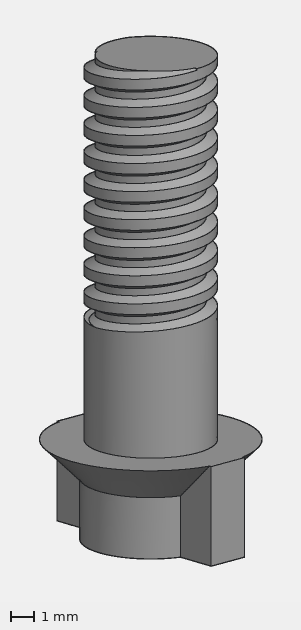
import cadquery as cq

total_height = 21.78
head_height = 4.49
collar_height = 1.72
thread_start = 10.0

collar_diameter = 9.63
hub_diameter = 6.15
shank_diameter = 5.77
root_diameter = 4.81

lug_span = collar_diameter
lug_width = 2.0

pitch = 1.26
groove_root_width = 0.33
groove_crest_width = 0.78
top_groove_height = 20.85
extra_turns = 1
groove_overshoot = 0.22


def make_head():
    """Hub with a conical collar above it and two side lugs."""
    hub_radius = hub_diameter / 2
    collar_radius = collar_diameter / 2
    body = (
        cq.Workplane("XZ")
        .moveTo(0, 0)
        .lineTo(hub_radius, 0)
        .lineTo(hub_radius, head_height - collar_height)
        .lineTo(collar_radius, head_height)
        .lineTo(0, head_height)
        .close()
        .revolve(360, (0, 0, 0), (0, 1, 0))
    )
    lugs = cq.Workplane("XY").rect(lug_span, lug_width).extrude(head_height)
    return body.union(lugs)


def make_plain_cylinder(diameter, bottom, top):
    return cq.Workplane("XY").workplane(offset=bottom).circle(diameter / 2).extrude(top - bottom)


def make_groove():
    """Helical cutter that runs past both ends of the threaded length."""
    turns_below_top_groove = int((top_groove_height - thread_start) / pitch) + extra_turns
    start = top_groove_height - turns_below_top_groove * pitch
    turns = turns_below_top_groove + extra_turns
    root_radius = root_diameter / 2
    crest_radius = shank_diameter / 2
    flank_slope = (groove_crest_width - groove_root_width) / 2 / (crest_radius - root_radius)
    root_half = groove_root_width / 2
    outer_half = groove_crest_width / 2 + flank_slope * groove_overshoot
    outer_radius = crest_radius + groove_overshoot
    path = cq.Wire.makeHelix(pitch, turns * pitch, root_radius, cq.Vector(0, 0, start))
    return (
        cq.Workplane("XZ")
        .moveTo(root_radius, start - root_half)
        .lineTo(outer_radius, start - outer_half)
        .lineTo(outer_radius, start + outer_half)
        .lineTo(root_radius, start + root_half)
        .close()
        .sweep(cq.Workplane(obj=path), isFrenet=True)
    )


def make_thread():
    """Groove a rod longer than the cutter, then trim it to the threaded length."""
    rod_top = total_height + (extra_turns + 1) * pitch
    rod = make_plain_cylinder(shank_diameter, head_height, rod_top).cut(make_groove())
    trim = make_plain_cylinder(collar_diameter, thread_start, total_height)
    return rod.intersect(trim)


head = make_head()
shank = make_plain_cylinder(shank_diameter, head_height, thread_start)
thread = make_thread()

result = head.union(shank).union(thread)